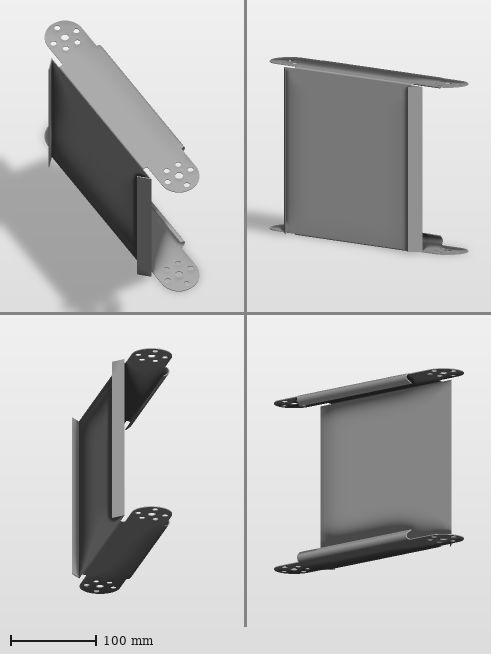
import cadquery as cq
import math

length = 288.0
depth = 71.0
height = 200.0
sheet = 1.0

plate_radius = 24.0
hub_x = length / 2 - plate_radius
pivot_hole_radius = 4.5
small_hole_radius = 3.5
bolt_circle_radius = 16.0
small_hole_angles = (30, 90, 180, 270, 330)

half_depth = 30.0
front_bend_radius = 2.0
web_back = -half_depth + sheet
relief_radius = (-plate_radius - web_back) / 2
relief_end_x = 88.5
relief_center_x = relief_end_x + relief_radius

curl_radius = 5.0
curl_turn = 143
curl_lip = 6.3
curl_half_length = 89.5
curl_taper = 2.0

wing_half_length = 105.5
wing_gap = 1.7
fold_reach = depth - half_depth + web_back
fold_angle = 45


def end_plate():
    """Flat stadium plate under the top face, pierced at both ends."""
    plate = (
        cq.Workplane("XY")
        .workplane(offset=height / 2 - sheet)
        .slot2D(length, 2 * plate_radius)
        .extrude(sheet)
    )
    for side in (-1, 1):
        small_holes = []
        for angle in small_hole_angles:
            theta = math.radians(angle)
            small_holes.append((
                side * (bolt_circle_radius * math.cos(theta) - hub_x),
                bolt_circle_radius * math.sin(theta),
            ))
        pivot_hole = cq.Workplane("XY").center(side * hub_x, 0).circle(pivot_hole_radius).extrude(height)
        ring = cq.Workplane("XY").pushPoints(small_holes).circle(small_hole_radius).extrude(height)
        plate = plate.cut(pivot_hole).cut(ring)
    return plate


def front_channel():
    """Web with a rounded bend into each end plate, cut off at the rounded ends of the reliefs."""
    channel = (
        cq.Workplane("XY")
        .box(2 * relief_center_x, half_depth, height)
        .translate((0, -half_depth / 2, 0))
        .edges("|X and <Y")
        .fillet(front_bend_radius)
    )
    hollow = (
        cq.Workplane("XY")
        .box(2 * relief_center_x, half_depth - sheet, height - 2 * sheet)
        .translate((0, web_back / 2, 0))
        .edges("|X and <Y")
        .fillet(front_bend_radius - sheet)
    )
    relief_center_y = web_back + relief_radius
    centers = [(side * relief_center_x, relief_center_y) for side in (-1, 1)]
    floor = cq.Workplane("XY").workplane(offset=-height / 2)
    round_ends = floor.pushPoints(centers).circle(relief_radius).extrude(height)
    open_fronts = (
        cq.Workplane("XY")
        .pushPoints([(x, y - half_depth / 2) for x, y in centers])
        .box(2 * relief_radius, half_depth, height)
    )
    return channel.cut(hollow).cut(round_ends).cut(open_fronts)


def wings():
    """Web sheet continued past the reliefs, with sharp inward folds."""
    theta = math.radians(fold_angle)
    tip_x = wing_half_length - fold_reach / math.tan(theta)
    tip_y = web_back - fold_reach
    inner_x = tip_x - sheet * math.sin(theta)
    inner_y = tip_y + sheet * math.cos(theta)
    root_x = inner_x + (-half_depth - inner_y) / math.tan(theta)
    outline = [
        (0, web_back), (wing_half_length, web_back), (tip_x, tip_y),
        (inner_x, inner_y), (root_x, -half_depth), (0, -half_depth),
    ]
    wing_height = height - 2 * wing_gap
    base = cq.Workplane("XY").workplane(offset=-wing_height / 2)
    wing = base.polyline(outline).close().extrude(wing_height)
    return wing.union(wing.mirror("YZ"))


def rear_curl():
    """Rear edge of the top plate, rolled down and back in, with tapered ends."""
    center_y = half_depth - curl_radius
    center_z = height / 2 - curl_radius
    inner_radius = curl_radius - sheet

    def on_arc(radius, turn):
        theta = math.radians(90 - turn)
        return (center_y + radius * math.cos(theta), center_z + radius * math.sin(theta))

    lip_direction = math.radians(-curl_turn)
    lip_y = curl_lip * math.cos(lip_direction)
    lip_z = curl_lip * math.sin(lip_direction)
    outer_end = on_arc(curl_radius, curl_turn)
    inner_end = on_arc(inner_radius, curl_turn)
    curl = (
        cq.Workplane("YZ")
        .moveTo(0, height / 2)
        .lineTo(center_y, height / 2)
        .threePointArc(on_arc(curl_radius, curl_turn / 2), outer_end)
        .line(lip_y, lip_z)
        .lineTo(inner_end[0] + lip_y, inner_end[1] + lip_z)
        .lineTo(*inner_end)
        .threePointArc(on_arc(inner_radius, curl_turn / 2), (center_y, height / 2 - sheet))
        .lineTo(0, height / 2 - sheet)
        .close()
        .extrude(curl_half_length, both=True)
    )
    rear_half_length = curl_half_length - curl_taper
    outline = [
        (-curl_half_length, 0), (curl_half_length, 0), (curl_half_length, plate_radius),
        (rear_half_length, half_depth), (-rear_half_length, half_depth), (-curl_half_length, plate_radius),
    ]
    envelope = cq.Workplane("XY").polyline(outline).close().extrude(height)
    return curl.intersect(envelope)


top_side = end_plate().union(rear_curl())
result = front_channel().union(wings()).union(top_side).union(top_side.mirror("XY"))